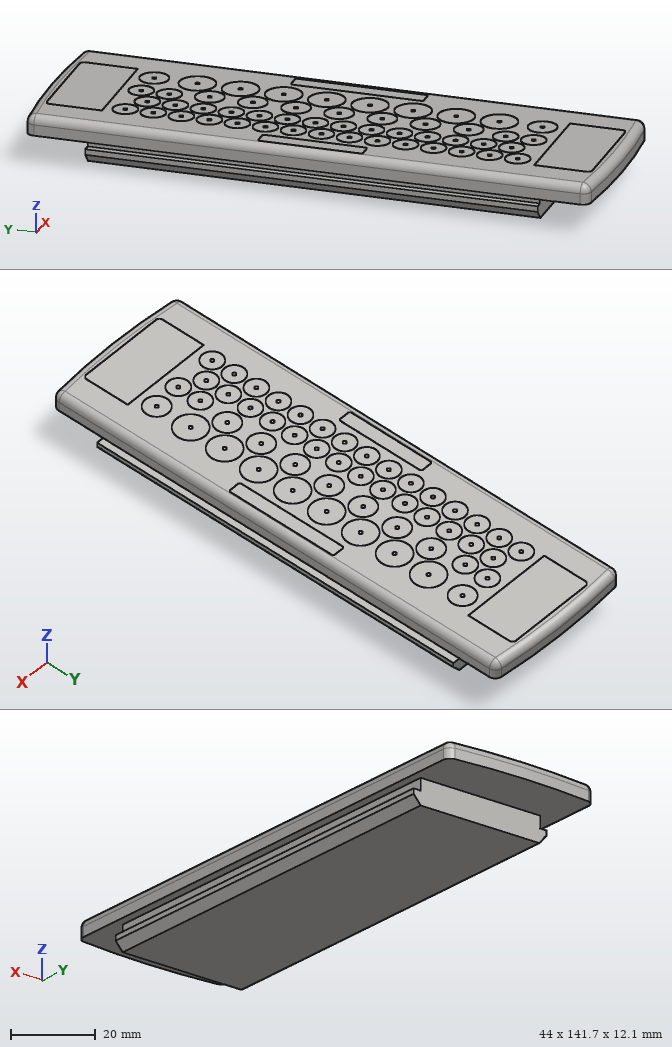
import cadquery as cq
import math

plate_length = 141.7
plate_width = 44.0
plate_height = 5.0
end_bow = 1.3
corner_radius = 2.1
top_edge_radius = 2.1

foot_length = 112.1
foot_height = 7.1
neck_height = 3.3
lip_face_height = 1.4
neck_left = -16.7
neck_right = 19.4
left_lip_reach = 1.8
right_lip_reach = 2.1
lip_chamfer_width = 2.1

marking_depth = 0.1
pin_diameter = 1.0

small_diameter = 6.1
medium_diameter = 7.1
large_diameter = 8.9

small_pitch = 7.0
small_column_x = -10.9
small_column_spacing = small_pitch * math.sin(math.radians(60))
small_count = 15

large_column_x = 9.4
large_count = 8
large_span = 74.8
large_pitch = large_span / (large_count - 1)
medium_column_x = 2.4
medium_count = 7

label_width = 26.9
label_length = 14.0
label_outer_y = 67.6
label_corner_radius = 1.1

strip_width = 3.8
strip_center_x = 17.6
left_strip_length = 26.0
right_strip_length = 32.9
strip_corner_radius = 0.5


def column(x, count, pitch):
    """Evenly spaced points along Y, centred on the X axis."""
    return [(x, (i - (count - 1) / 2) * pitch) for i in range(count)]


def cover_plate():
    half_width = plate_width / 2
    end_y = plate_length / 2
    side_y = end_y - end_bow
    plate = (
        cq.Workplane("XY")
        .moveTo(-half_width, -side_y)
        .threePointArc((0, -end_y), (half_width, -side_y))
        .lineTo(half_width, side_y)
        .threePointArc((0, end_y), (-half_width, side_y))
        .close()
        .extrude(plate_height)
    )
    plate = plate.edges("|Z").fillet(corner_radius)
    return plate.faces(">Z").edges().fillet(top_edge_radius)


def snap_foot():
    lip_top = -neck_height
    lip_bottom = lip_top - lip_face_height
    lip_left = neck_left - left_lip_reach
    lip_right = neck_right + right_lip_reach
    outline = [
        (neck_left, 0),
        (neck_left, lip_top),
        (lip_left, lip_top),
        (lip_left, lip_bottom),
        (lip_left + lip_chamfer_width, -foot_height),
        (lip_right - lip_chamfer_width, -foot_height),
        (lip_right, lip_bottom),
        (lip_right, lip_top),
        (neck_right, lip_top),
        (neck_right, 0),
    ]
    return cq.Workplane("XZ").polyline(outline).close().extrude(foot_length / 2, both=True)


def ring_recesses(points, diameter):
    """Shallow round recesses, each with a flush pin left standing in its middle."""
    base = cq.Workplane("XY", origin=(0, 0, plate_height - marking_depth)).pushPoints(points)
    return base.circle(diameter / 2).circle(pin_diameter / 2).extrude(marking_depth)


def rectangular_recess(x, y, width, length, rounded_edges, radius):
    base = cq.Workplane("XY", origin=(x, y, plate_height - marking_depth))
    return base.rect(width, length).extrude(marking_depth).edges(rounded_edges).fillet(radius)


part = cover_plate().union(snap_foot())

first_column = column(small_column_x, small_count, small_pitch)
second_column = column(small_column_x + small_column_spacing, small_count - 1, small_pitch)
third_column = column(small_column_x + 2 * small_column_spacing, small_count, small_pitch)
small_points = first_column + second_column + third_column[:2] + third_column[-2:]

large_points = column(large_column_x, large_count, large_pitch)
closing_column = column(large_column_x, large_count + 2, large_pitch)
medium_points = column(medium_column_x, medium_count, large_pitch)
medium_points += [closing_column[0], closing_column[-1]]

part = part.cut(ring_recesses(small_points, small_diameter))
part = part.cut(ring_recesses(medium_points, medium_diameter))
part = part.cut(ring_recesses(large_points, large_diameter))

label_y = label_outer_y - label_length / 2
for side, outer_corners in ((1, "|Z and >Y"), (-1, "|Z and <Y")):
    part = part.cut(
        rectangular_recess(0, side * label_y, label_width, label_length, outer_corners, label_corner_radius)
    )

for side, length in ((-1, left_strip_length), (1, right_strip_length)):
    part = part.cut(
        rectangular_recess(side * strip_center_x, 0, strip_width, length, "|Z", strip_corner_radius)
    )

result = part